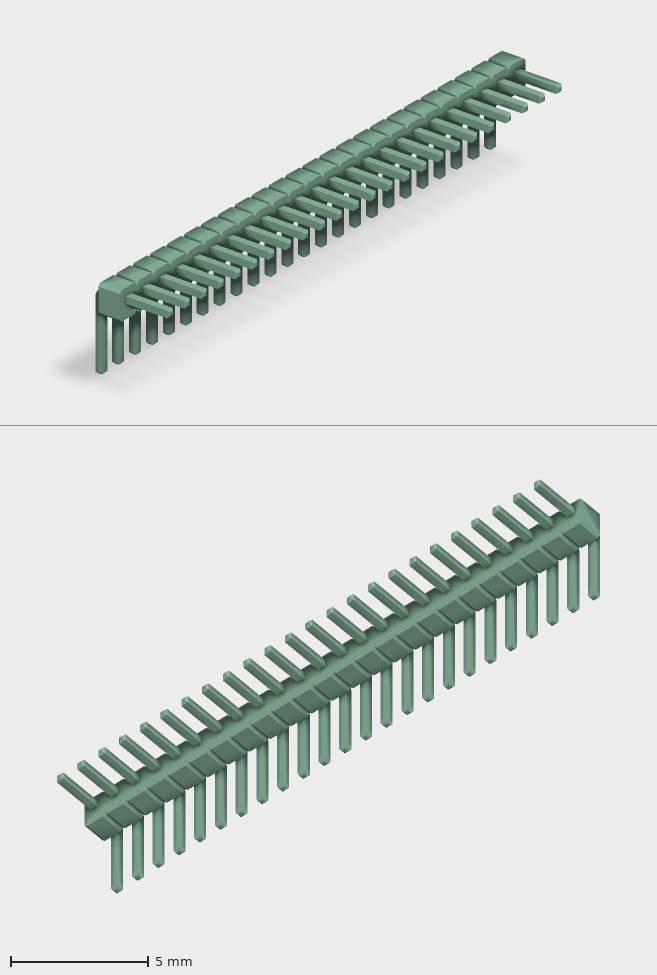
import cadquery as cq


overall_x = 3.4
row_length = 24.0
overall_z = 3.94

pin_count = 24
pitch = row_length / pin_count
pin_size = 0.3
tip_chamfer = 0.07

strip_width = pitch
strip_height = 1.3
strip_start_x = 0.4
corner_chamfer = 0.12

pin_top_z = -0.34
bend_outer_radius = 0.48
bend_inner_radius = bend_outer_radius - pin_size


def pin_center_y(index):
    """Y position of a pin, with the row centered on Y = 0."""
    return (index - (pin_count - 1) / 2) * pitch


def make_strip():
    """Row of blocks with chamfered lengthwise edges, which form V notches where they meet."""
    block = (
        cq.Workplane("XY")
        .box(strip_width, pitch, strip_height)
        .edges("|X")
        .chamfer(corner_chamfer)
        .translate((strip_start_x + strip_width / 2, 0, -strip_height / 2))
    )
    strip = block.translate((0, pin_center_y(0), 0))
    for index in range(1, pin_count):
        strip = strip.union(block.translate((0, pin_center_y(index), 0)))
    return strip


def make_pin():
    """Square wire bent through 90 degrees, with chamfers around both tips."""
    bend_z = pin_top_z - bend_outer_radius
    pin = (
        cq.Workplane("XZ")
        .moveTo(0, -overall_z)
        .lineTo(0, bend_z)
        .radiusArc((bend_outer_radius, pin_top_z), bend_outer_radius)
        .lineTo(overall_x, pin_top_z)
        .lineTo(overall_x, pin_top_z - pin_size)
        .lineTo(bend_outer_radius, pin_top_z - pin_size)
        .radiusArc((pin_size, bend_z), -bend_inner_radius)
        .lineTo(pin_size, -overall_z)
        .close()
        .extrude(pin_size / 2, both=True)
    )
    pin = pin.faces("<Z").chamfer(tip_chamfer)
    return pin.faces(">X").chamfer(tip_chamfer)


result = make_strip()
pin = make_pin()
for index in range(pin_count):
    result = result.union(pin.translate((0, pin_center_y(index), 0)))